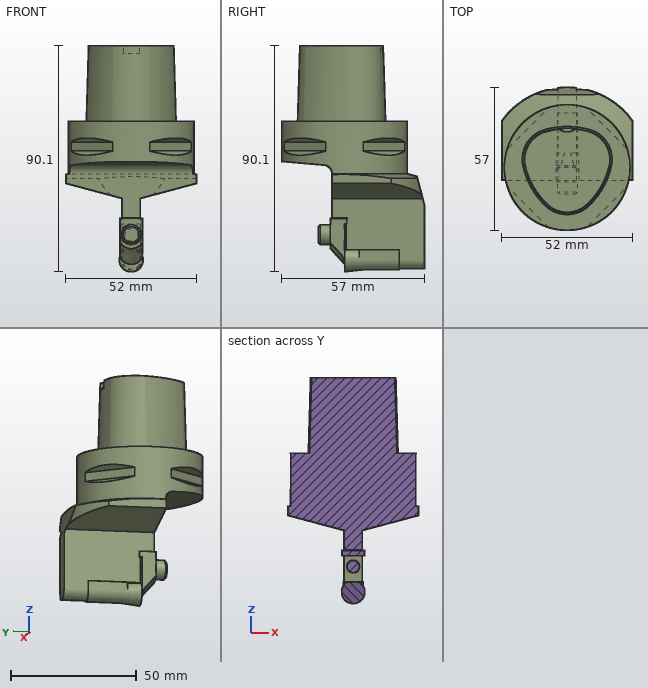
import cadquery as cq
import math


SHANK_HEIGHT = 30.0
SHANK_BASE_RADIUS = 17.55
SHANK_TOP_RADIUS = 16.65
LOBE_HEIGHT = 1.2
LOBE_HALF_ANGLE = 25
NOTCH_RADIUS = 4.9
NOTCH_BOTTOM_Y = 14.1
NOTCH_DEPTH = 3.0
FLANGE_RADIUS = 25.0
FLANGE_HEIGHT = 21.0

SLOT_COUNT = 4
SLOT_FLOOR_DISTANCE = 22.1
SLOT_CENTER_Z = -10.2
SLOT_FLOOR_WIDTH = 3.5
SLOT_WALL_ANGLE = 30

FRONT_Y = -5.0
SHOULDER_RADIUS = 31.95
SHOULDER_HALF_WIDTH = 26.0
SHOULDER_EDGE_Z = -24.8
SLOPE_ANGLE = 15
BACK_TOP_Y = 28.9
BACK_TILT = 14.5
BLADE_HALF_WIDTH = 3.7
BLADE_ROUND_Z = -55.2

RELIEF_RADIUS = 3.3
RELIEF_RIM_Z = -16.1
RELIEF_TILT = 5

INSERT_RADIUS = 4.0
INSERT_TIP_RADIUS = 4.8
INSERT_TOP_Z = -51.3
INSERT_ROUND_Z = -55.3
INSERT_FRONT_Y = 0.1
INSERT_SHOULDER_Y = 5.85
INSERT_TIP_LENGTH = 8.1
INSERT_TIP_END_RADIUS = 3.9
INSERT_BACK_Y = 21.9

CLAMP_HALF_WIDTH = 4.5
CLAMP_TOP_Z = -38.7
CLAMP_FRONT_Y = -5.6
CLAMP_LIP_Y = 1.0
CLAMP_LIP_HEIGHT = 2.25
CLAMP_ROUND_Z = -52.65
CLAMP_SLIT = 0.5
CLAMP_TOP_GAP = 0.2
NOSE_SIDE_Z = -48.5
NOSE_CENTER_Z = -50.8
NOSE_DROP = 6.2
SCREW_Z = -45.2
SCREW_SHANK_DIAMETER = 5.0
SCREW_HEAD_DIAMETER = 7.9
SCREW_HEAD_LENGTH = 4.9
SCREW_HEAD_CHAMFER = 0.8

MARGIN = 9.0


def tan_deg(angle):
    return math.tan(math.radians(angle))


def polar(radius, angle):
    a = math.radians(angle)
    return radius * math.cos(a), radius * math.sin(a)


def lobed_outline(work, mean_radius):
    """Three lobe arcs alternating with three flatter arcs; one lobe points to -Y."""
    join_radius = mean_radius + LOBE_HEIGHT * math.cos(math.radians(3 * LOBE_HALF_ANGLE))
    work = work.moveTo(*polar(join_radius, -90 - LOBE_HALF_ANGLE))
    for lobe_angle in (-90, 30, 150):
        work = work.threePointArc(
            polar(mean_radius + LOBE_HEIGHT, lobe_angle),
            polar(join_radius, lobe_angle + LOBE_HALF_ANGLE),
        )
        work = work.threePointArc(
            polar(mean_radius - LOBE_HEIGHT, lobe_angle + 60),
            polar(join_radius, lobe_angle + 120 - LOBE_HALF_ANGLE),
        )
    return work.close()


def make_shank():
    base = lobed_outline(cq.Workplane("XY"), SHANK_BASE_RADIUS)
    shank = lobed_outline(base.workplane(offset=SHANK_HEIGHT), SHANK_TOP_RADIUS).loft(ruled=True)
    notch = (
        cq.Workplane("XY", origin=(0, NOTCH_BOTTOM_Y + NOTCH_RADIUS, SHANK_HEIGHT - NOTCH_DEPTH))
        .circle(NOTCH_RADIUS)
        .extrude(NOTCH_DEPTH)
    )
    return shank.cut(notch)


def make_gripper_slot(angle):
    """Trapezoidal slot, wider at the rim, along a chord of the flange."""
    half_floor = SLOT_FLOOR_WIDTH / 2
    reach = FLANGE_RADIUS + MARGIN
    half_mouth = half_floor + (reach - SLOT_FLOOR_DISTANCE) * tan_deg(SLOT_WALL_ANGLE)
    return (
        cq.Workplane("XZ")
        .polyline([
            (SLOT_FLOOR_DISTANCE, SLOT_CENTER_Z - half_floor),
            (reach, SLOT_CENTER_Z - half_mouth),
            (reach, SLOT_CENTER_Z + half_mouth),
            (SLOT_FLOOR_DISTANCE, SLOT_CENTER_Z + half_floor),
        ])
        .close()
        .extrude(FLANGE_RADIUS, both=True)
        .rotate((0, 0, 0), (0, 0, 1), angle)
    )


def make_relief():
    """Space cleared under the front of the flange, with a rounded inner corner."""
    rim_y = -FLANGE_RADIUS
    front_y = rim_y - MARGIN
    corner_z = RELIEF_RIM_Z - (FRONT_Y - rim_y) * tan_deg(RELIEF_TILT)
    bottom_z = -FLANGE_HEIGHT - MARGIN
    return (
        cq.Workplane("YZ")
        .polyline([
            (FRONT_Y, bottom_z),
            (FRONT_Y, corner_z),
            (front_y, RELIEF_RIM_Z + MARGIN * tan_deg(RELIEF_TILT)),
            (front_y, bottom_z),
        ])
        .close()
        .extrude(FLANGE_RADIUS + MARGIN, both=True)
        .edges("|X")
        .edges(cq.selectors.NearestToPointSelector((0, FRONT_Y, corner_z)))
        .fillet(RELIEF_RADIUS)
    )


def make_flange():
    flange = cq.Workplane("XY").circle(FLANGE_RADIUS).extrude(-FLANGE_HEIGHT)
    for i in range(SLOT_COUNT):
        flange = flange.cut(make_gripper_slot(45 + i * 360 / SLOT_COUNT))
    return flange.cut(make_relief())


def make_blade():
    """Shoulder and thin blade: a T-shaped extrusion trimmed by a cone-topped cylinder."""
    blade_top_z = SHOULDER_EDGE_Z - (SHOULDER_HALF_WIDTH - BLADE_HALF_WIDTH) * tan_deg(SLOPE_ANGLE)
    blade = (
        cq.Workplane("XZ", origin=(0, FRONT_Y, 0))
        .moveTo(-SHOULDER_HALF_WIDTH, -FLANGE_HEIGHT)
        .lineTo(-SHOULDER_HALF_WIDTH, SHOULDER_EDGE_Z)
        .lineTo(-BLADE_HALF_WIDTH, blade_top_z)
        .lineTo(-BLADE_HALF_WIDTH, BLADE_ROUND_Z)
        .threePointArc((0, BLADE_ROUND_Z - BLADE_HALF_WIDTH), (BLADE_HALF_WIDTH, BLADE_ROUND_Z))
        .lineTo(BLADE_HALF_WIDTH, blade_top_z)
        .lineTo(SHOULDER_HALF_WIDTH, SHOULDER_EDGE_Z)
        .lineTo(SHOULDER_HALF_WIDTH, -FLANGE_HEIGHT)
        .close()
        .extrude(-(SHOULDER_RADIUS - FRONT_Y))
    )
    cone_edge_z = -FLANGE_HEIGHT - (SHOULDER_RADIUS - FLANGE_RADIUS) * tan_deg(SLOPE_ANGLE)
    bottom_z = BLADE_ROUND_Z - MARGIN
    envelope = (
        cq.Workplane("XZ")
        .polyline([
            (0, -FLANGE_HEIGHT),
            (FLANGE_RADIUS, -FLANGE_HEIGHT),
            (SHOULDER_RADIUS, cone_edge_z),
            (SHOULDER_RADIUS, bottom_z),
            (0, bottom_z),
        ])
        .close()
        .revolve(360, (0, 0, 0), (0, 1, 0))
    )
    back_top_z = -FLANGE_HEIGHT - (BACK_TOP_Y - FLANGE_RADIUS) * tan_deg(SLOPE_ANGLE)
    back_length = 2 * MARGIN
    back_cut = (
        cq.Workplane("YZ", origin=(0, BACK_TOP_Y, back_top_z))
        .transformed(rotate=(0, 0, BACK_TILT))
        .rect(back_length, 2 * back_length)
        .extrude(SHOULDER_RADIUS, both=True)
        .translate(cq.Vector(0, *polar(back_length / 2, BACK_TILT)))
    )
    return blade.intersect(envelope).cut(back_cut)


def make_clamp_seat():
    """Pocket in the lower front of the blade; its wall steps back behind the clamp lip."""
    slit_back_y = INSERT_FRONT_Y + CLAMP_SLIT
    lip_bottom_z = CLAMP_TOP_Z - CLAMP_LIP_HEIGHT
    front_y = FRONT_Y - MARGIN
    bottom_z = BLADE_ROUND_Z - MARGIN
    return (
        cq.Workplane("YZ")
        .polyline([
            (front_y, CLAMP_TOP_Z + CLAMP_TOP_GAP),
            (CLAMP_LIP_Y, CLAMP_TOP_Z + CLAMP_TOP_GAP),
            (CLAMP_LIP_Y, lip_bottom_z),
            (slit_back_y, lip_bottom_z),
            (slit_back_y, bottom_z),
            (front_y, bottom_z),
        ])
        .close()
        .extrude(MARGIN, both=True)
    )


def rounded_bar(half_width, round_z, top_z, front_y, back_y):
    """Bar along Y with a flat top, upright sides and a half-round bottom."""
    return (
        cq.Workplane("XZ", origin=(0, front_y, 0))
        .moveTo(-half_width, top_z)
        .lineTo(-half_width, round_z)
        .threePointArc((0, round_z - half_width), (half_width, round_z))
        .lineTo(half_width, top_z)
        .close()
        .extrude(front_y - back_y)
    )


def make_clamp():
    bar = rounded_bar(CLAMP_HALF_WIDTH, CLAMP_ROUND_Z, CLAMP_TOP_Z, CLAMP_FRONT_Y, INSERT_FRONT_Y)
    nose_outline = (
        cq.Workplane("XZ", origin=(0, CLAMP_FRONT_Y, 0))
        .moveTo(-CLAMP_HALF_WIDTH, NOSE_SIDE_Z)
        .threePointArc((0, NOSE_CENTER_Z), (CLAMP_HALF_WIDTH, NOSE_SIDE_Z))
        .lineTo(CLAMP_HALF_WIDTH, CLAMP_TOP_Z + MARGIN)
        .lineTo(-CLAMP_HALF_WIDTH, CLAMP_TOP_Z + MARGIN)
        .close()
        .val()
    )
    sweep = cq.Vector(0, INSERT_FRONT_Y - CLAMP_FRONT_Y, -NOSE_DROP)
    clamp = bar.intersect(cq.Workplane(cq.Solid.extrudeLinear(nose_outline, [], sweep)))
    lip = cq.Workplane("XY", origin=(0, INSERT_FRONT_Y, CLAMP_TOP_Z)).box(
        2 * CLAMP_HALF_WIDTH,
        CLAMP_LIP_Y - INSERT_FRONT_Y,
        CLAMP_LIP_HEIGHT,
        centered=(True, False, False),
    ).translate((0, 0, -CLAMP_LIP_HEIGHT))
    return clamp.union(lip)


def make_screw():
    head = (
        cq.Workplane("XZ", origin=(0, CLAMP_FRONT_Y, SCREW_Z))
        .circle(SCREW_HEAD_DIAMETER / 2)
        .extrude(SCREW_HEAD_LENGTH)
        .faces("<Y")
        .chamfer(SCREW_HEAD_CHAMFER)
    )
    shank_length = CLAMP_LIP_Y - CLAMP_FRONT_Y
    shank = (
        cq.Workplane("XZ", origin=(0, CLAMP_FRONT_Y, SCREW_Z))
        .circle(SCREW_SHANK_DIAMETER / 2)
        .extrude(-shank_length)
    )
    return head.union(shank)


def make_insert():
    """Rounded bar ending in a conical cutting tip that flares towards the front."""
    bar = rounded_bar(INSERT_RADIUS, INSERT_ROUND_Z, INSERT_TOP_Z, INSERT_SHOULDER_Y, INSERT_BACK_Y)
    tip = cq.Workplane(cq.Solid.makeCone(
        INSERT_TIP_RADIUS,
        INSERT_TIP_END_RADIUS,
        INSERT_TIP_LENGTH,
        cq.Vector(0, INSERT_FRONT_Y, INSERT_ROUND_Z),
        cq.Vector(0, 1, 0),
    ))
    above_insert = cq.Workplane("XY", origin=(0, 0, INSERT_TOP_Z)).rect(
        2 * MARGIN, 2 * MARGIN
    ).extrude(MARGIN)
    return bar.union(tip.cut(above_insert))


def make_tip_clearance():
    """Space across the blade around the flared insert tip."""
    return cq.Workplane("XY", origin=(0, INSERT_SHOULDER_Y - MARGIN, INSERT_TOP_Z - MARGIN)).box(
        2 * BLADE_HALF_WIDTH,
        MARGIN,
        MARGIN,
        centered=(True, False, False),
    )


def make_holder(insert):
    blade = make_blade().cut(make_clamp_seat()).cut(make_tip_clearance()).cut(insert)
    return (
        make_shank()
        .union(make_flange())
        .union(blade)
        .union(make_clamp())
        .union(make_screw())
    )


insert = make_insert()
holder = make_holder(insert)
result = cq.Compound.makeCompound([holder.val(), insert.val()])